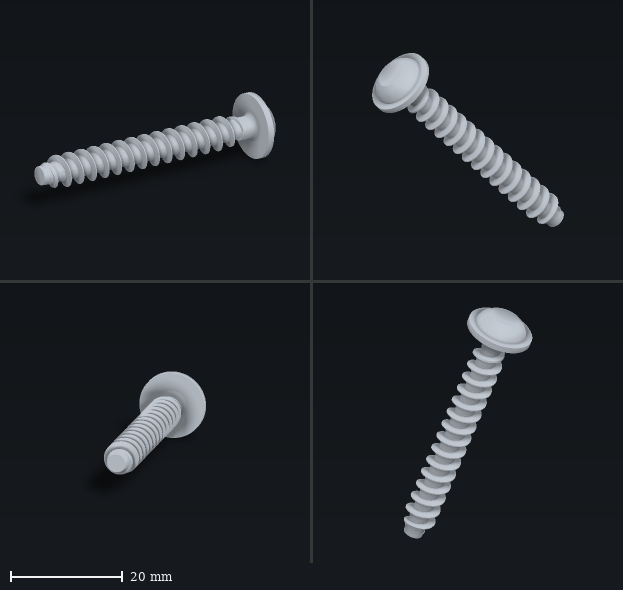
import cadquery as cq

total_length = 48.6

head_height = 3.6
flange_diameter = 12.0
flange_thickness = 1.2
flange_edge_break = 0.05
dome_base_radius = 4.8
dome_middle_radius = 3.95
dome_middle_depth = 0.87
dome_top_radius = 2.6

shank_radius = 2.05
neck_fillet = 0.85
shank_length = 3.0
core_radius = 1.75
tip_chamfer = 0.1
tip_axial = total_length - head_height

measured_turns = 13
measured_thread_length = 34.9
pitch = measured_thread_length / measured_turns
thread_turns = 16
thread_start = 2.62
crest_radius = 3.05
crest_width = 0.2
root_width = 0.8
sweep_base_radius = 1.45
ramp_high_radius = 2.0
ramp_low_radius = 1.7
ramp_gap = 0.05

lead_in_radius = 2.4
lead_in_length = 2.95
fade_length = 3.5
fade_end_radius = 1.4


seam_angle = 37
join_tolerance = 0.001


def make_head():
    flange_radius = flange_diameter / 2
    flange = cq.Workplane("XY").circle(flange_radius).extrude(-flange_thickness)
    flange = flange.edges().chamfer(flange_edge_break)
    dome = (
        cq.Workplane("XZ")
        .moveTo(0, -head_height)
        .lineTo(dome_top_radius, -head_height)
        .threePointArc(
            (dome_middle_radius, dome_middle_depth - head_height),
            (dome_base_radius, -flange_thickness),
        )
        .lineTo(0, -flange_thickness)
        .close()
        .revolve(360, (0, 0, 0), (0, 1, 0))
        .rotate((0, 0, 0), (0, 0, 1), seam_angle)
    )
    return flange.union(dome)


def make_shaft():
    """Filleted neck, plain shank and thread core down to the chamfered tip."""
    return (
        cq.Workplane("XZ")
        .moveTo(0, 0)
        .lineTo(shank_radius + neck_fillet, 0)
        .radiusArc((shank_radius, neck_fillet), neck_fillet)
        .lineTo(shank_radius, shank_length)
        .lineTo(core_radius, shank_length)
        .lineTo(core_radius, tip_axial - tip_chamfer)
        .lineTo(core_radius - tip_chamfer, tip_axial)
        .lineTo(0, tip_axial)
        .close()
        .revolve(360, (0, 0, 0), (0, 1, 0))
        .rotate((0, 0, 0), (0, 0, 1), seam_angle)
    )


def make_thread():
    """Right-hand ridge with a tapered core ramp filling the gap to the next turn."""
    helix = cq.Wire.makeHelix(pitch, pitch * thread_turns, core_radius)
    ramp_end = pitch - root_width / 2 - ramp_gap
    ridge = (
        cq.Workplane("XZ")
        .polyline([
            (sweep_base_radius, -root_width / 2),
            (core_radius, -root_width / 2),
            (crest_radius, -crest_width / 2),
            (crest_radius, crest_width / 2),
            (ramp_high_radius, root_width / 2),
            (ramp_low_radius, ramp_end),
            (sweep_base_radius, ramp_end),
        ])
        .close()
        .sweep(cq.Workplane(helix), isFrenet=True)
        .translate((0, 0, thread_start))
    )
    envelope = (
        cq.Workplane("XZ")
        .polyline([
            (0, shank_length),
            (lead_in_radius, shank_length),
            (crest_radius, shank_length + lead_in_length),
            (crest_radius, tip_axial - fade_length),
            (fade_end_radius, tip_axial),
            (0, tip_axial),
        ])
        .close()
        .revolve(360, (0, 0, 0), (0, 1, 0))
        .rotate((0, 0, 0), (0, 0, 1), seam_angle)
    )
    return ridge.intersect(envelope, tol=join_tolerance)


threaded_shaft = make_thread().union(make_shaft(), tol=join_tolerance)
screw = threaded_shaft.union(make_head())

result = screw.rotate((0, 0, 0), (1, 0, 0), 90)